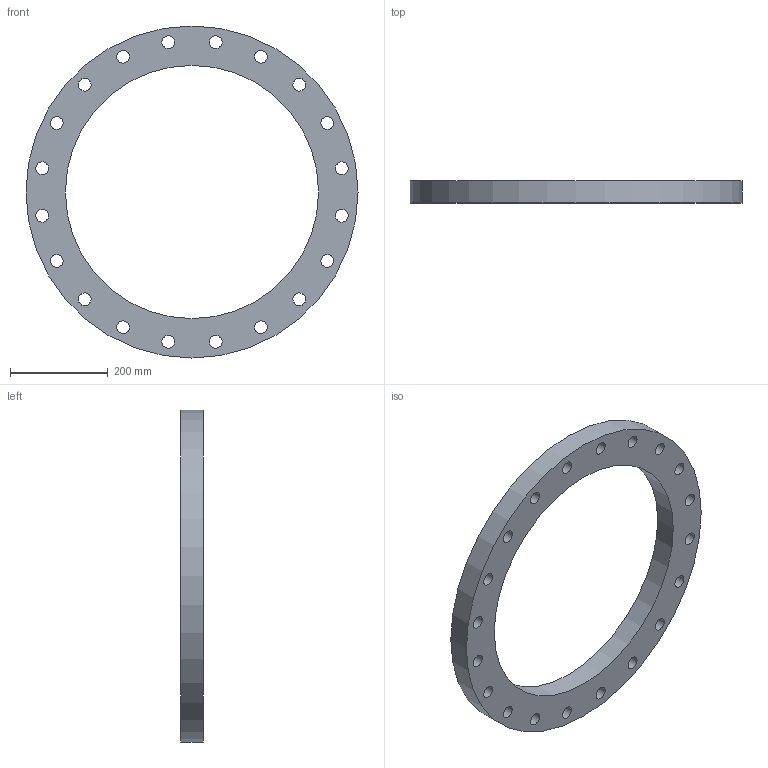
import cadquery as cq

OUTER_DIAMETER = 678.0
BORE_DIAMETER = 517.0
THICKNESS = 45.0
BOLT_CIRCLE_DIAMETER = 620.0
BOLT_HOLE_DIAMETER = 26.0
BOLT_HOLE_COUNT = 20

FULL_TURN = 360.0
HOLE_PITCH_ANGLE = FULL_TURN / BOLT_HOLE_COUNT
FIRST_HOLE_ANGLE = HOLE_PITCH_ANGLE / 2


def back_face_plane():
    """Workplane on the +Y face; extrusions from it run toward -Y."""
    return cq.Workplane("XZ", origin=(0, THICKNESS / 2, 0))


def flange_ring():
    """Flat ring around the Y axis, centred on the origin."""
    return (
        back_face_plane()
        .circle(OUTER_DIAMETER / 2)
        .circle(BORE_DIAMETER / 2)
        .extrude(THICKNESS)
    )


def bolt_holes():
    """Cylinders that cut the evenly spaced through holes."""
    return (
        back_face_plane()
        .polarArray(BOLT_CIRCLE_DIAMETER / 2, FIRST_HOLE_ANGLE, FULL_TURN, BOLT_HOLE_COUNT)
        .circle(BOLT_HOLE_DIAMETER / 2)
        .extrude(THICKNESS)
    )


result = flange_ring().cut(bolt_holes())